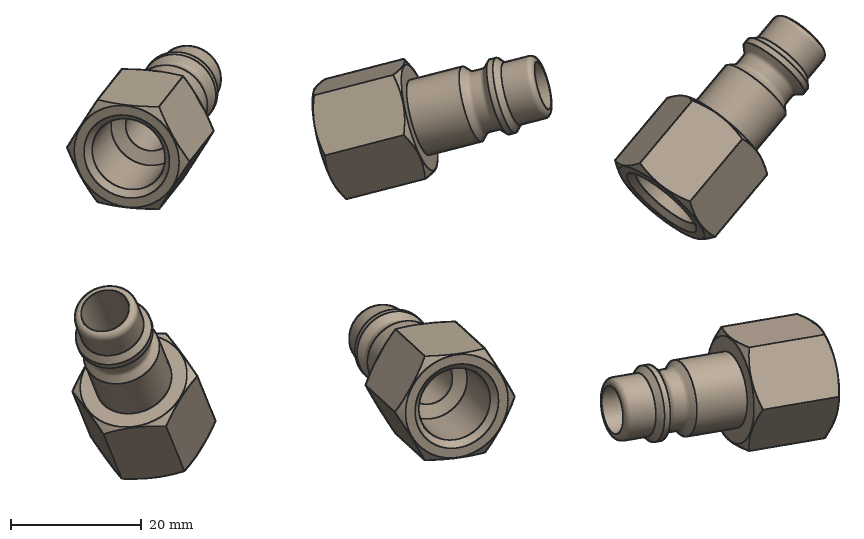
import cadquery as cq
import math

total_length = 34.5

hex_across_flats = 17.0
hex_length = 14.5
hex_face_radius = 8.4
hex_chamfer_angle = 30.0

shank_radius = 5.97
tip_radius = 4.97
tip_fillet = 1.0
tip_length = 5.0
collar_top = total_length - tip_length
collar_land = 1.0
groove_radius = 4.85
groove_corner_radius = 0.85
groove_lower_edge = 23.0

through_radius = 3.75
socket_radius = 5.83
socket_depth = 11.05
socket_chamfer = 1.0
drill_tip_angle = 135.0

collar_land_top = collar_top - (shank_radius - tip_radius)
groove_upper_edge = collar_land_top - collar_land
groove_depth = shank_radius - groove_radius

slope = math.radians(45)
tangent_length = groove_corner_radius * math.tan(slope / 2)
floor_bottom = groove_lower_edge + groove_depth + tangent_length
floor_top = groove_upper_edge - groove_depth - tangent_length
arc_height = groove_corner_radius * math.sin(slope)
arc_end_radius = groove_radius + groove_corner_radius * (1 - math.cos(slope))
arc_mid_height = groove_corner_radius * math.sin(slope / 2)
arc_mid_radius = groove_radius + groove_corner_radius * (1 - math.cos(slope / 2))


def revolve_about_y(profile):
    return profile.close().revolve(360, (0, 0, 0), (0, 1, 0))


def make_hexagon():
    """Hexagonal prism with both ends trimmed by a 30 degree cone."""
    corner_radius = hex_across_flats / math.sqrt(3)
    prism = (
        cq.Workplane("XZ")
        .polygon(6, 2 * corner_radius)
        .extrude(-hex_length)
    )
    chamfer_height = (corner_radius - hex_face_radius) * math.tan(math.radians(hex_chamfer_angle))
    envelope = revolve_about_y(
        cq.Workplane("XY")
        .lineTo(hex_face_radius, 0)
        .lineTo(corner_radius, chamfer_height)
        .lineTo(corner_radius, hex_length - chamfer_height)
        .lineTo(hex_face_radius, hex_length)
        .lineTo(0, hex_length)
    )
    return prism.intersect(envelope)


def make_plug():
    """Turned shank with its locking groove, collar and rounded tip."""
    fillet_mid_offset = tip_fillet * (1 - math.sin(slope))
    return revolve_about_y(
        cq.Workplane("XY")
        .lineTo(shank_radius, 0)
        .lineTo(shank_radius, groove_lower_edge)
        .lineTo(arc_end_radius, floor_bottom - arc_height)
        .threePointArc((arc_mid_radius, floor_bottom - arc_mid_height), (groove_radius, floor_bottom))
        .lineTo(groove_radius, floor_top)
        .threePointArc((arc_mid_radius, floor_top + arc_mid_height), (arc_end_radius, floor_top + arc_height))
        .lineTo(shank_radius, groove_upper_edge)
        .lineTo(shank_radius, collar_land_top)
        .lineTo(tip_radius, collar_top)
        .lineTo(tip_radius, total_length - tip_fillet)
        .threePointArc(
            (tip_radius - fillet_mid_offset, total_length - fillet_mid_offset),
            (tip_radius - tip_fillet, total_length),
        )
        .lineTo(0, total_length)
    )


def make_bore():
    """Chamfered socket with a conical floor, leading into the through hole."""
    cone_height = (socket_radius - through_radius) / math.tan(math.radians(drill_tip_angle / 2))
    return revolve_about_y(
        cq.Workplane("XY")
        .lineTo(socket_radius + socket_chamfer, 0)
        .lineTo(socket_radius, socket_chamfer)
        .lineTo(socket_radius, socket_depth)
        .lineTo(through_radius, socket_depth + cone_height)
        .lineTo(through_radius, total_length)
        .lineTo(0, total_length)
    )


result = make_hexagon().union(make_plug()).cut(make_bore())